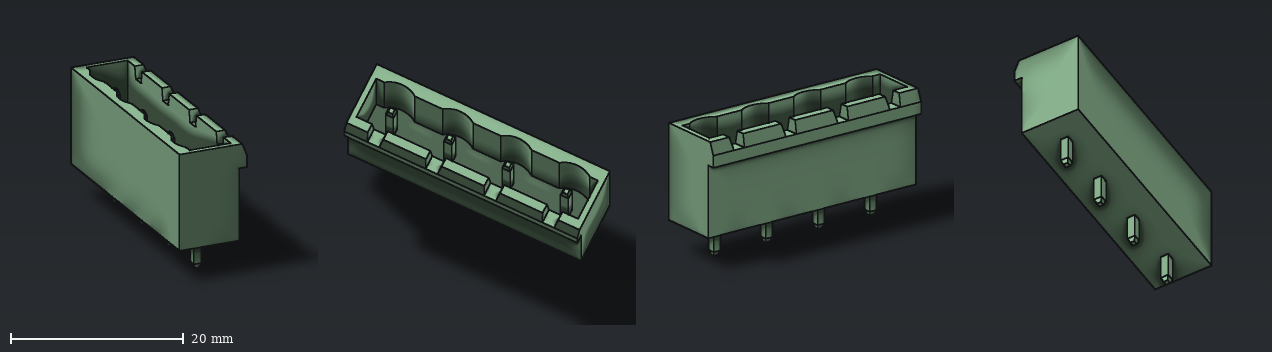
import cadquery as cq

length = 30.0
body_depth = 7.62
height = 12.0
floor_thickness = 3.0

end_wall = 0.75
front_wall = 1.65
back_wall = 0.75

lip_overhang = 1.0
lip_height = 3.0
lip_bevel_depth = 0.6
lip_bevel_height = 1.5

pin_count = 4
pitch = length / pin_count
pin_y = 3.8
pin_size = 1.02
pin_tip_size = 0.6
pin_tip_height = 0.6
pin_bottom = -4.0
pin_top = 10.02

scallop_width = 3.95
scallop_depth = 0.63
notch_top_width = 2.0
notch_floor_width = 1.5
notch_depth = 1.5

pin_xs = [(i - (pin_count - 1) / 2) * pitch for i in range(pin_count)]
back_y = body_depth + lip_overhang
cavity_back_y = body_depth - back_wall


def make_housing():
    """Side profile with the bevelled lip, extruded along the length."""
    profile = (
        cq.Workplane("YZ", origin=(-length / 2, 0, 0))
        .moveTo(0, 0)
        .lineTo(body_depth, 0)
        .lineTo(body_depth, height - lip_height)
        .lineTo(back_y, height - lip_height)
        .lineTo(back_y, height - lip_bevel_height)
        .lineTo(back_y - lip_bevel_depth, height)
        .lineTo(0, height)
        .close()
    )
    return profile.extrude(length)


def make_cavity():
    """Mating cavity whose front side bulges into a scallop opposite each pin."""
    half_length = length / 2 - end_wall
    outline = cq.Workplane("XY", origin=(0, 0, floor_thickness)).moveTo(-half_length, front_wall)
    for x in pin_xs:
        outline = outline.lineTo(x - scallop_width / 2, front_wall).threePointArc(
            (x, front_wall - scallop_depth),
            (x + scallop_width / 2, front_wall),
        )
    outline = (
        outline.lineTo(half_length, front_wall)
        .lineTo(half_length, cavity_back_y)
        .lineTo(-half_length, cavity_back_y)
        .close()
    )
    return outline.extrude(height - floor_thickness)


def make_notch(x):
    """Tapered notch through the back wall and lip."""
    return (
        cq.Workplane("XZ", origin=(x, back_y, height))
        .moveTo(-notch_top_width / 2, 0)
        .lineTo(-notch_floor_width / 2, -notch_depth)
        .lineTo(notch_floor_width / 2, -notch_depth)
        .lineTo(notch_top_width / 2, 0)
        .close()
        .extrude(back_y - cavity_back_y)
    )


def make_pin_tip(x, z_base, direction):
    """Square taper starting at z_base, pointing up (+1) or down (-1)."""
    return (
        cq.Workplane("XY", origin=(x, pin_y, z_base))
        .rect(pin_size, pin_size)
        .workplane(offset=direction * pin_tip_height)
        .rect(pin_tip_size, pin_tip_size)
        .loft(ruled=True)
    )


def make_pin(x):
    """Square pin with a tapered tip at both ends."""
    shank_bottom = pin_bottom + pin_tip_height
    shank_top = pin_top - pin_tip_height
    shank = (
        cq.Workplane("XY", origin=(x, pin_y, shank_bottom))
        .rect(pin_size, pin_size)
        .extrude(shank_top - shank_bottom)
    )
    return shank.union(make_pin_tip(x, shank_bottom, -1)).union(make_pin_tip(x, shank_top, 1))


result = make_housing().cut(make_cavity())
for pin_x in pin_xs:
    result = result.cut(make_notch(pin_x)).union(make_pin(pin_x))